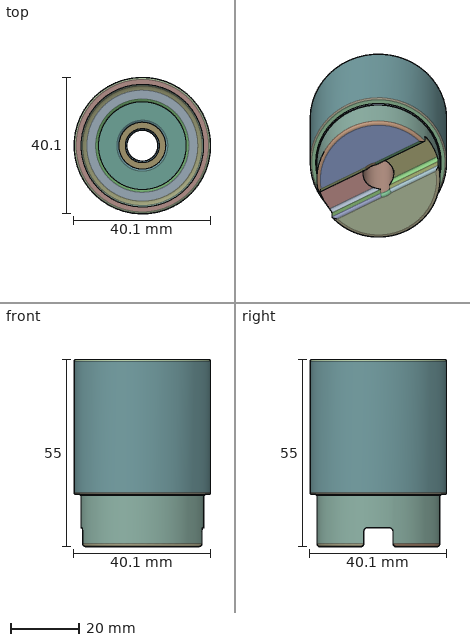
import cadquery as cq

height = 55.0
sleeve_radius = 20.05
core_radius = 18.05

sleeve_bottom_z = 15.4
top_edge_radius = 0.6
bottom_edge_radius = 0.5
lip_width = 0.4
lip_end_width = 0.1
lip_height = 0.4

rim_radius = 18.0
rim_wall_radius = 17.55
rim_depth = 0.45
dish_floor_radius = 16.3
dish_depth = 0.95
dish_wall_radius = 2.75
window_radius = 12.85
window_edge_width = 0.8
window_edge_drop = 0.35

core_top_z = height - 1.75
bore_radius = 6.9
bore_edge_radius = 0.6
bore_floor_z = 44.4
hole_radius = 4.5
hole_mouth_radius = 5.0
hole_mouth_depth = 0.5

slot_width = 8.5
slot_height = 5.6
slot_corner_radius = 1.1
foot_edge_radius = 1.0


def revolve_about_z(outline):
    """Turn an outline drawn in the XZ plane into a solid of revolution."""
    return outline.close().revolve(360, (0, 0), (0, 1))


def make_sleeve():
    """Sleeve that covers the core above its neck, with a dished and open top."""
    dish_floor_z = height - dish_depth
    brim_arc_radius = (window_edge_width**2 + window_edge_drop**2) / (2 * window_edge_drop)

    outline = (
        cq.Workplane("XZ")
        .moveTo(core_radius, core_top_z)
        .lineTo(core_radius, sleeve_bottom_z - lip_height)
        .lineTo(core_radius + lip_end_width, sleeve_bottom_z - lip_height)
        .lineTo(core_radius + lip_width, sleeve_bottom_z)
        .lineTo(sleeve_radius - bottom_edge_radius, sleeve_bottom_z)
        .radiusArc((sleeve_radius, sleeve_bottom_z + bottom_edge_radius), -bottom_edge_radius)
        .lineTo(sleeve_radius, height - top_edge_radius)
        .radiusArc((sleeve_radius - top_edge_radius, height), -top_edge_radius)
        .lineTo(rim_radius, height)
        .lineTo(rim_wall_radius, height - rim_depth)
        .radiusArc((dish_floor_radius, dish_floor_z), dish_wall_radius)
        .lineTo(window_radius + window_edge_width, dish_floor_z)
        .radiusArc((window_radius, dish_floor_z - window_edge_drop), -brim_arc_radius)
        .lineTo(window_radius, core_top_z)
    )
    return revolve_about_z(outline)


def make_foot_slot():
    """Cutter for the slot: level top with rounded corners, open at the foot."""
    return (
        cq.Workplane("XY")
        .box(3 * core_radius, slot_width, 2 * slot_height)
        .edges("|X and >Z")
        .fillet(slot_corner_radius)
    )


def make_core():
    """Core cylinder with the stepped bore and the slotted, rounded foot."""
    bore_edge_z = core_top_z - bore_edge_radius
    outline = (
        cq.Workplane("XZ")
        .moveTo(hole_radius, 0)
        .lineTo(core_radius, 0)
        .lineTo(core_radius, core_top_z)
        .lineTo(bore_radius + bore_edge_radius, core_top_z)
        .radiusArc((bore_radius, bore_edge_z), -bore_edge_radius)
        .lineTo(bore_radius, bore_floor_z)
        .lineTo(hole_mouth_radius, bore_floor_z)
        .lineTo(hole_radius, bore_floor_z - hole_mouth_depth)
    )
    core = revolve_about_z(outline).cut(make_foot_slot())
    foot_edges = core.faces("<Z").edges("%CIRCLE or |X")
    return foot_edges.fillet(foot_edge_radius)


sleeve = make_sleeve()
core = make_core()
result = cq.Compound.makeCompound([sleeve.val(), core.val()])